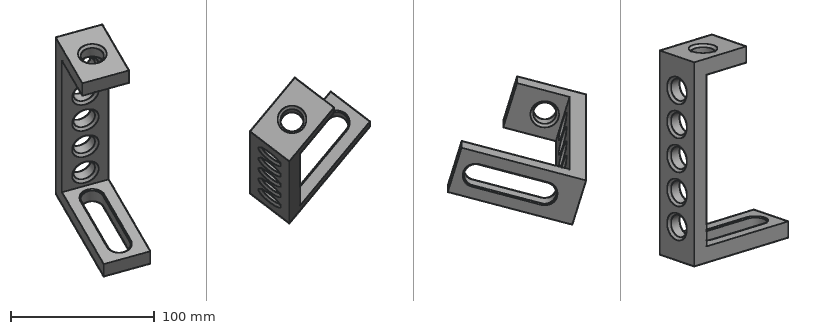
import cadquery as cq

height = 150.0
width = 35.0
base_length = 90.0
top_length = 50.0
thickness = 12.0

hole_diameter = 16.0
hole_chamfer = 2.0
hole_count = 5
hole_pitch = height / 6
top_hole_x = top_length / 2

slot_width = 16.0
slot_chamfer = 0.9
slot_end_margin = 7.0
slot_start = top_hole_x - slot_width / 2
slot_end = base_length - slot_end_margin

chamfer_taper = 45


def make_body():
    """C-shaped profile with a long base and a short top flange, centred on Y."""
    return (
        cq.Workplane("XZ")
        .moveTo(0, 0)
        .lineTo(base_length, 0)
        .lineTo(base_length, thickness)
        .lineTo(thickness, thickness)
        .lineTo(thickness, height - thickness)
        .lineTo(top_length, height - thickness)
        .lineTo(top_length, height)
        .lineTo(0, height)
        .close()
        .extrude(width / 2, both=True)
    )


def make_cutter(sketch_plane, length, opening, chamfer):
    """Opening through one wall thickness, flared at both ends; a round hole has length == opening.

    The plane lies on one face of the wall and its normal points into the wall.
    """

    def outline(offset, growth):
        plane = cq.Workplane(sketch_plane).workplane(offset=offset)
        if length == opening:
            return plane.circle(opening / 2 + growth)
        return plane.slot2D(length + 2 * growth, opening + 2 * growth)

    through = outline(0, 0).extrude(thickness)
    near_flare = outline(0, chamfer).extrude(chamfer, taper=chamfer_taper)
    far_flare = outline(thickness, chamfer).extrude(-chamfer, taper=chamfer_taper)
    return through.union(near_flare).union(far_flare)


result = make_body()

for index in range(hole_count):
    hole_z = height / 2 + (index - (hole_count - 1) / 2) * hole_pitch
    wall_plane = cq.Plane(origin=(0, 0, hole_z), xDir=(0, 1, 0), normal=(1, 0, 0))
    result = result.cut(make_cutter(wall_plane, hole_diameter, hole_diameter, hole_chamfer))

flange_plane = cq.Plane(origin=(top_hole_x, 0, height - thickness), xDir=(1, 0, 0), normal=(0, 0, 1))
result = result.cut(make_cutter(flange_plane, hole_diameter, hole_diameter, hole_chamfer))

slot_center_x = (slot_start + slot_end) / 2
base_plane = cq.Plane(origin=(slot_center_x, 0, 0), xDir=(1, 0, 0), normal=(0, 0, 1))
result = result.cut(make_cutter(base_plane, slot_end - slot_start, slot_width, slot_chamfer))